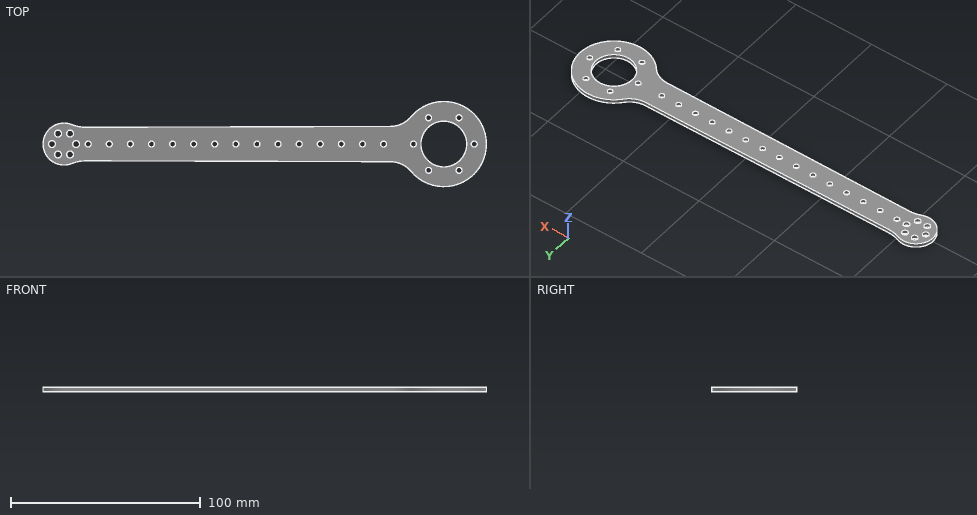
import cadquery as cq
import math

INCH = 25.4

thickness = 2.5
end_spacing = 200.0
small_end_radius = 7 / 16 * INCH
large_end_radius = 22.5
bore_diameter = 24.0

arm_width_small = 17.7
arm_width_large = 18.9
small_blend_radius = 19.0
large_blend_radius = 14.0

bolts_per_circle = 6
small_bolt_circle_diameter = 1 / 2 * INCH
large_bolt_circle_diameter = 32.0
small_bolt_hole_diameter = 3.5
large_bolt_hole_diameter = 3.0

row_hole_count = 15
row_hole_pitch = 7 / 16 * INCH
row_start = 1 / 2 * INCH
row_hole_diameter = 3.0

taper_angle = math.atan2((arm_width_large - arm_width_small) / 2, end_spacing)


def arm_half_width(x):
    """Half width of the arm at distance x from the small end's centre."""
    return arm_width_small / 2 + x * math.tan(taper_angle)


def blend_points(end_x, end_radius, blend_radius, side):
    """Tangent points on the end circle and upper arm edge, and the blend centre.

    The blend arc touches the end circle from outside. side is +1 when the
    arm lies towards +X of the end and -1 when it lies towards -X.
    """
    edge_distance = arm_half_width(end_x) * math.cos(taper_angle)
    across = edge_distance + blend_radius
    along = side * math.sqrt((end_radius + blend_radius) ** 2 - across**2)

    def to_plate(u, v):
        x = end_x + u * math.cos(taper_angle) - v * math.sin(taper_angle)
        y = u * math.sin(taper_angle) + v * math.cos(taper_angle)
        return (x, y)

    share = end_radius / (end_radius + blend_radius)
    on_end = to_plate(along * share, across * share)
    on_edge = to_plate(along, edge_distance)
    blend_centre = to_plate(along, across)
    return on_end, on_edge, blend_centre


def arc_middle(centre, radius, start, end):
    """Middle of the shorter arc between two points of a circle."""
    dx = (start[0] + end[0]) / 2 - centre[0]
    dy = (start[1] + end[1]) / 2 - centre[1]
    reach = radius / math.hypot(dx, dy)
    return (centre[0] + dx * reach, centre[1] + dy * reach)


def mirrored(point):
    """Point reflected across the long axis of the arm."""
    return (point[0], -point[1])


def make_plate():
    """Arm with two round ends, blended together in one outline."""
    small_end, small_edge, small_centre = blend_points(0, small_end_radius, small_blend_radius, 1)
    large_end, large_edge, large_centre = blend_points(
        end_spacing, large_end_radius, large_blend_radius, -1
    )
    small_middle = arc_middle(small_centre, small_blend_radius, small_end, small_edge)
    large_middle = arc_middle(large_centre, large_blend_radius, large_end, large_edge)
    small_tip = (-small_end_radius, 0)
    large_tip = (end_spacing + large_end_radius, 0)
    return (
        cq.Workplane("XY")
        .moveTo(*small_end)
        .threePointArc(small_middle, small_edge)
        .lineTo(*large_edge)
        .threePointArc(large_middle, large_end)
        .threePointArc(large_tip, mirrored(large_end))
        .threePointArc(mirrored(large_middle), mirrored(large_edge))
        .lineTo(*mirrored(small_edge))
        .threePointArc(mirrored(small_middle), mirrored(small_end))
        .threePointArc(small_tip, small_end)
        .close()
        .extrude(thickness)
    )


def through_holes(points, diameter):
    """Cutting cylinders through the plate at the given points."""
    return cq.Workplane("XY").pushPoints(points).circle(diameter / 2).extrude(thickness)


def bolt_circle(centre_x, circle_diameter):
    """Evenly spaced points on a circle, the first one towards +X."""
    points = []
    for i in range(bolts_per_circle):
        angle = 2 * math.pi * i / bolts_per_circle
        x = centre_x + circle_diameter / 2 * math.cos(angle)
        y = circle_diameter / 2 * math.sin(angle)
        points.append((x, y))
    return points


small_bolts = bolt_circle(0, small_bolt_circle_diameter)
large_bolts = bolt_circle(end_spacing, large_bolt_circle_diameter)
arm_row = [(row_start + i * row_hole_pitch, 0) for i in range(row_hole_count)]

result = (
    make_plate()
    .cut(through_holes([(end_spacing, 0)], bore_diameter))
    .cut(through_holes(small_bolts, small_bolt_hole_diameter))
    .cut(through_holes(large_bolts, large_bolt_hole_diameter))
    .cut(through_holes(arm_row, row_hole_diameter))
)